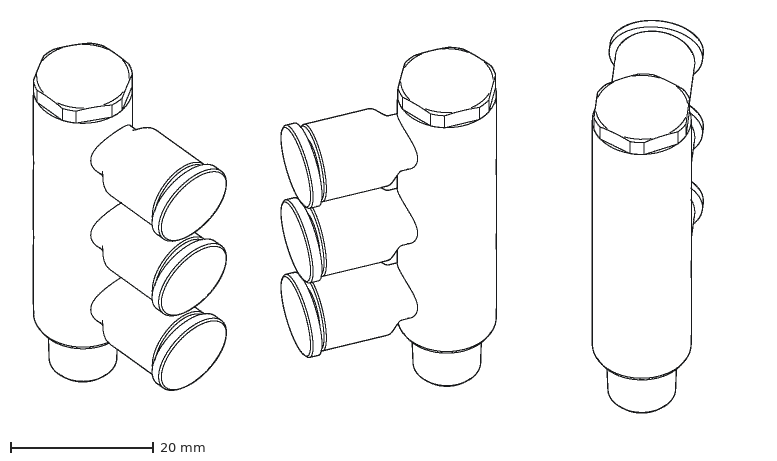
import cadquery as cq
import math


total_height = 55.5
outlet_reach = 22.5

module_count = 3
module_pitch = 14.5
body_radius = 7.0
band_height = 2.0
band_taper = 0.035

cap_height = 2.5
cap_across_flats = 13.0
cap_chamfer_width = 0.5
cap_chamfer_height = 0.15

upper_step_radius = 6.55
upper_step_height = 0.7
lower_step_radius = 5.7
lower_step_height = 0.85
step_chamfer = 0.15
thread_top_radius = 5.0
thread_bottom_radius = 4.8
thread_tip_radius = 4.05
thread_tip_height = 0.85

neck_radius = 4.0
neck_end = 8.05
sleeve_radius = 5.6
sleeve_start = 9.95
sleeve_end = 20.15
sleeve_chamfer_length = 0.3
sleeve_chamfer_depth = 0.2
shoulder_fillet = 1.0
collar_radius = 3.7

flange_half_width = 6.6
flange_half_height = 5.5
flange_thickness = 1.6
flange_chamfer = 0.3

stack_top = total_height - cap_height
stack_bottom = stack_top - module_count * module_pitch
upper_step_bottom = stack_bottom - upper_step_height
lower_step_bottom = upper_step_bottom - lower_step_height


def make_module(bottom):
    """Cylinder whose end bands taper in slightly, standing on Z = bottom."""
    end_radius = body_radius - band_taper
    top = bottom + module_pitch
    return (
        cq.Workplane("XZ")
        .moveTo(0, bottom)
        .lineTo(end_radius, bottom)
        .lineTo(body_radius, bottom + band_height)
        .lineTo(body_radius, top - band_height)
        .lineTo(end_radius, top)
        .lineTo(0, top)
        .close()
        .revolve(360, (0, 0), (0, 1))
    )


def make_cap():
    """Hexagon with flats on +Y and -Y, corners rounded to the body, top edge bevelled."""
    corner_to_corner = cap_across_flats / math.cos(math.pi / 6)
    hexagon = (
        cq.Workplane("XY")
        .workplane(offset=stack_top)
        .polygon(6, corner_to_corner)
        .extrude(cap_height)
    )
    envelope = (
        cq.Workplane("XZ")
        .moveTo(0, stack_top)
        .lineTo(body_radius, stack_top)
        .lineTo(body_radius, total_height - cap_chamfer_height)
        .lineTo(body_radius - cap_chamfer_width, total_height)
        .lineTo(0, total_height)
        .close()
        .revolve(360, (0, 0), (0, 1))
    )
    return hexagon.intersect(envelope)


def make_thread():
    """Two round steps followed by the tapered thread with its bevelled tip."""
    return (
        cq.Workplane("XZ")
        .moveTo(0, stack_bottom)
        .lineTo(upper_step_radius, stack_bottom)
        .lineTo(upper_step_radius, upper_step_bottom)
        .lineTo(lower_step_radius, upper_step_bottom)
        .lineTo(lower_step_radius, lower_step_bottom + step_chamfer)
        .lineTo(lower_step_radius - step_chamfer, lower_step_bottom)
        .lineTo(thread_top_radius, lower_step_bottom)
        .lineTo(thread_bottom_radius, thread_tip_height)
        .lineTo(thread_tip_radius, 0)
        .lineTo(0, 0)
        .close()
        .revolve(360, (0, 0), (0, 1))
    )


def make_outlet(height):
    """Neck, flared sleeve, collar and elliptical flange along +X at Z = height."""
    flange_start = outlet_reach - flange_thickness
    barrel = (
        cq.Workplane("XZ")
        .lineTo(0, neck_radius)
        .lineTo(neck_end, neck_radius)
        .lineTo(sleeve_start, sleeve_radius)
        .lineTo(sleeve_end - sleeve_chamfer_length, sleeve_radius)
        .lineTo(sleeve_end, sleeve_radius - sleeve_chamfer_depth)
        .lineTo(sleeve_end, 0)
        .close()
        .revolve(360, (0, 0), (1, 0))
    )
    shoulder_edges = cq.selectors.BoxSelector(
        (neck_end / 2, -body_radius, -body_radius),
        (sleeve_start + shoulder_fillet, body_radius, body_radius),
    )
    barrel = barrel.edges("%CIRCLE").edges(shoulder_edges).fillet(shoulder_fillet)
    collar = (
        cq.Workplane("YZ")
        .workplane(offset=sleeve_end)
        .circle(collar_radius)
        .extrude(flange_start - sleeve_end)
    )
    flange = (
        cq.Workplane("YZ")
        .workplane(offset=flange_start)
        .ellipse(flange_half_width, flange_half_height)
        .extrude(flange_thickness)
        .faces(">X")
        .edges()
        .chamfer(flange_chamfer)
    )
    return barrel.union(collar).union(flange).translate((0, 0, height))


result = make_thread().union(make_cap())
for index in range(module_count):
    module_bottom = stack_bottom + index * module_pitch
    result = result.union(make_module(module_bottom))
    result = result.union(make_outlet(module_bottom + module_pitch / 2))